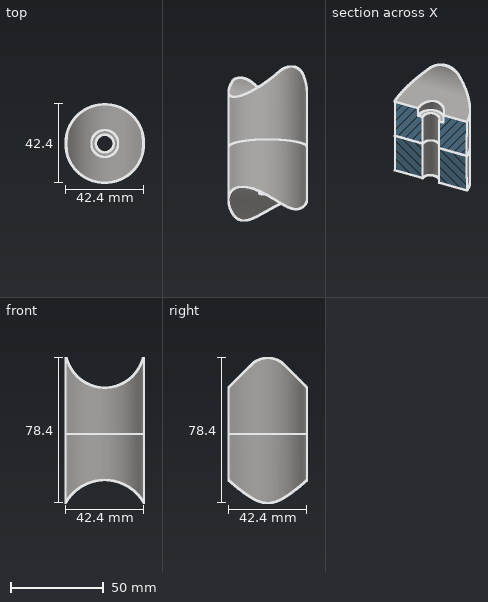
import cadquery as cq
import math

column_diameter = 42.4
column_length = 78.4
column_radius = column_diameter / 2
top_tip = column_length / 2
bottom_tip = -column_length / 2
split_height = -1.9

upper_saddle_radius = column_radius
tip_rounding_radius = 12.5
tip_shortening = tip_rounding_radius * (math.sqrt(2) - 1)
upper_saddle_axis = top_tip + tip_shortening

lower_saddle_radius = 24.3
lower_saddle_rise = math.sqrt(lower_saddle_radius**2 - column_radius**2)
lower_saddle_axis = bottom_tip - lower_saddle_rise

bolt_hole_diameter = 9.5
counterbore_diameter = 14.5
counterbore_depth = 5.4
counterbore_floor = upper_saddle_axis - upper_saddle_radius - counterbore_depth


def vertical_cylinder(diameter, bottom, top):
    """Cylinder on the Z axis between two heights."""
    return cq.Workplane("XY").workplane(offset=bottom).circle(diameter / 2).extrude(top - bottom)


def saddle_cutter(radius, axis_height):
    """Cylinder along Y that crosses the whole column."""
    return (
        cq.Workplane("XZ")
        .center(0, axis_height)
        .circle(radius)
        .extrude(column_diameter, both=True)
    )


def tip_rounding_cutter():
    """Prism along X filling the space between a tangent arc and the column's flat top."""
    tangent_offset = tip_rounding_radius / math.sqrt(2)
    tangent_height = top_tip - tip_rounding_radius + tangent_offset
    cap_height = upper_saddle_axis
    return (
        cq.Workplane("YZ")
        .moveTo(-tangent_offset, tangent_height)
        .threePointArc((0, top_tip), (tangent_offset, tangent_height))
        .lineTo(tangent_offset, cap_height)
        .lineTo(-tangent_offset, cap_height)
        .close()
        .extrude(column_diameter, both=True)
    )


def make_upper_body():
    body = vertical_cylinder(column_diameter, split_height, top_tip)
    body = body.cut(saddle_cutter(upper_saddle_radius, upper_saddle_axis))
    body = body.cut(tip_rounding_cutter())
    body = body.cut(vertical_cylinder(bolt_hole_diameter, split_height, top_tip))
    return body.cut(vertical_cylinder(counterbore_diameter, counterbore_floor, top_tip))


def make_lower_body():
    body = vertical_cylinder(column_diameter, bottom_tip, split_height)
    body = body.cut(saddle_cutter(lower_saddle_radius, lower_saddle_axis))
    return body.cut(vertical_cylinder(bolt_hole_diameter, bottom_tip, split_height))


upper_body = make_upper_body()
lower_body = make_lower_body()

result = cq.Compound.makeCompound([upper_body.val(), lower_body.val()])